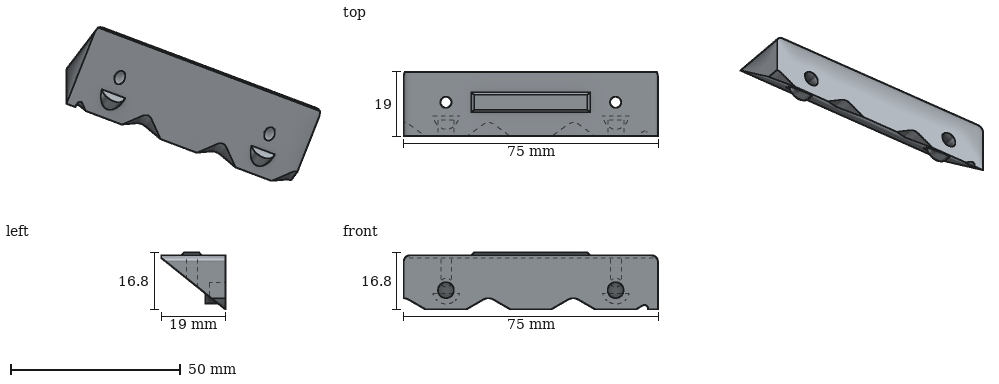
import cadquery as cq
import math

length = 75.0
depth = 19.0
body_height = 16.0
back_edge_height = 0.8
top_corner_radius = 2.0

strip_length = 35.0
strip_width = 6.0
strip_height = 0.8

hole_inset = 12.5
hole_positions = [hole_inset, length - hole_inset]
screw_hole_diameter = 3.2
screw_hole_y = 10.0

pocket_diameter = 4.7
pocket_z = 5.7
pocket_floor = 1.2
boss_diameter = 8.0
boss_length = 6.0

notch_pitch = 25.0
notch_half_width = 6.5
notch_angle = math.radians(30)
notch_tip_radius = 3.0
notch_positions = [0.0, notch_pitch, 2 * notch_pitch]

relief_start_x = length - notch_half_width
relief_radius = 1.0
relief_center_x = 71.0


def make_body():
    profile = [
        (0, 0),
        (depth, body_height - back_edge_height),
        (depth, body_height),
        (0, body_height),
    ]
    body = cq.Workplane("YZ").polyline(profile).close().extrude(length)
    return body.faces(">Z").edges("|Y").fillet(top_corner_radius)


def make_bosses():
    centers = [(x, pocket_z) for x in hole_positions]
    return cq.Workplane("XZ").pushPoints(centers).circle(boss_diameter / 2).extrude(-boss_length)


def make_pockets():
    centers = [(x, pocket_z) for x in hole_positions]
    pocket_depth = boss_length - pocket_floor
    return cq.Workplane("XZ").pushPoints(centers).circle(pocket_diameter / 2).extrude(-pocket_depth)


def make_strip():
    strip = cq.Workplane("XY").workplane(offset=body_height)
    strip = strip.center(length / 2, screw_hole_y).rect(strip_length, strip_width)
    return strip.extrude(strip_height, taper=45)


def make_screw_holes():
    centers = [(x, screw_hole_y) for x in hole_positions]
    return cq.Workplane("XY").pushPoints(centers).circle(screw_hole_diameter / 2).extrude(body_height)


def make_notch(x):
    apex_z = notch_half_width * math.tan(notch_angle)
    tip_center_z = apex_z - notch_tip_radius / math.cos(notch_angle)
    tangent_x = notch_tip_radius * math.sin(notch_angle)
    tangent_z = tip_center_z + notch_tip_radius * math.cos(notch_angle)
    notch = (
        cq.Workplane("XZ")
        .moveTo(x - notch_half_width, 0)
        .lineTo(x - tangent_x, tangent_z)
        .threePointArc((x, tip_center_z + notch_tip_radius), (x + tangent_x, tangent_z))
        .lineTo(x + notch_half_width, 0)
        .close()
    )
    return notch.extrude(-depth)


def make_end_relief():
    ramp_z_at_center = (relief_center_x - relief_start_x) * math.tan(notch_angle)
    center_z = ramp_z_at_center - relief_radius / math.cos(notch_angle)
    tangent_x = relief_center_x - relief_radius * math.sin(notch_angle)
    tangent_z = center_z + relief_radius * math.cos(notch_angle)
    wall_x = relief_center_x + relief_radius
    relief = (
        cq.Workplane("XZ")
        .moveTo(relief_start_x, 0)
        .lineTo(tangent_x, tangent_z)
        .threePointArc((relief_center_x, center_z + relief_radius), (wall_x, center_z))
        .lineTo(wall_x, 0)
        .close()
    )
    return relief.extrude(-depth)


result = make_body().union(make_bosses()).union(make_strip())
result = result.cut(make_pockets()).cut(make_screw_holes())
for notch_x in notch_positions:
    result = result.cut(make_notch(notch_x))
result = result.cut(make_end_relief())